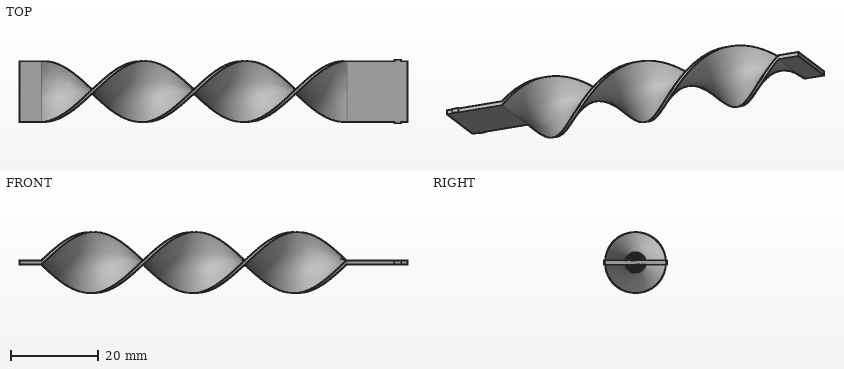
import cadquery as cq

strip_width = 14.0
strip_thickness = 1.0
short_tab_length = 5.0
twist_length = 70.0
long_tab_length = 14.0
half_turns = 3
twist_angle = -180.0 * half_turns

bump_height = 0.3
bump_length = 1.5
bump_end_gap = 1.5

twist_start = short_tab_length
twist_end = twist_start + twist_length
strip_end = twist_end + long_tab_length
bump_start = strip_end - bump_end_gap - bump_length


def flat_piece(start, length, width):
    """Flat plate of strip thickness, centred on the X axis, running in +X from start."""
    plate = cq.Workplane("XY").box(length, width, strip_thickness, centered=(False, True, True))
    return plate.translate((start, 0, 0))


def twisted_strip():
    """Strip cross-section swept along X while turning about the X axis."""
    section = cq.Workplane("YZ", origin=(twist_start, 0, 0)).rect(strip_width, strip_thickness)
    return section.twistExtrude(twist_length, twist_angle)


short_tab = flat_piece(0, short_tab_length, strip_width)
long_tab = flat_piece(twist_end, long_tab_length, strip_width)

edge_bumps = flat_piece(bump_start, bump_length, strip_width + 2 * bump_height)

result = twisted_strip().union(short_tab).union(long_tab).union(edge_bumps)